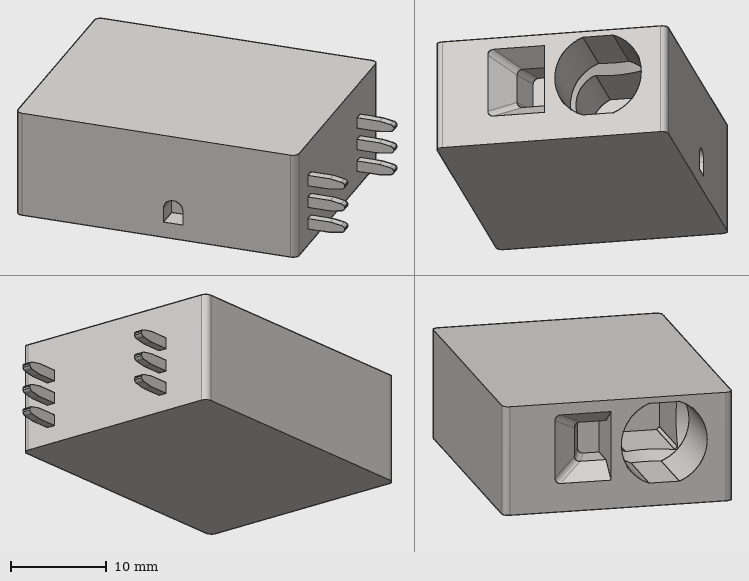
import cadquery as cq

body_length = 31.3
body_width = 24.7
body_height = 11.8
body_corner_radius = 0.7

pin_length = 4.1
pin_height = 1.2
pin_width = 0.95
pin_straight_length = 2.5
pin_taper_end = 3.72
pin_taper_end_half_height = 0.4
pin_tip_half_height = 0.1
pin_column_pitch = 15.0
pin_column_center_y = -1.05
pin_row_pitch = 2.5
pin_row_center_z = -0.9
pin_root_overlap = 1.0

opening_center_z = 0.92

bore_center_y = -4.98
bore_diameter = 9.25
bore_flat_height = 8.66
bore_depth = 8.0
cone_length = 0.9
channel_height = 6.44
channel_right_y = -8.4
channel_left_y = -0.87
channel_arc_start_y = -2.92
channel_corner_size = 0.3
channel_depth = 16.0

funnel_depth = 2.3
slot_right_y = 0.74
mouth_left_y = 6.79
throat_left_y = 4.14
floor_left_y = 3.06
mouth_height = 7.45
throat_height = 4.25
slot_floor_depth = 5.3
slot_corner_radius = 0.6

recess_center_x = 17.53
recess_width = 2.16
recess_bottom_z = -4.13
recess_top_z = -1.49
recess_depth = 2.5


def make_body():
    body = cq.Workplane("XY").box(body_length, body_width, body_height, centered=(False, True, True))
    return body.edges("|Z").fillet(body_corner_radius)


def make_pin(center_y, center_z):
    half_height = pin_height / 2
    straight_end = body_length + pin_straight_length
    taper_end = body_length + pin_taper_end
    tip = body_length + pin_length
    root = body_length - pin_root_overlap
    upper_half = (
        cq.Workplane("XZ", origin=(0, center_y, center_z))
        .moveTo(root, 0)
        .lineTo(root, half_height)
        .lineTo(straight_end, half_height)
        .lineTo(taper_end, pin_taper_end_half_height)
        .tangentArcPoint((tip, pin_tip_half_height), relative=False)
        .lineTo(tip, 0)
        .close()
        .extrude(pin_width / 2, both=True)
    )
    return upper_half.union(upper_half.mirror("XY", (0, 0, center_z))).clean()


def entry_plane(center_y):
    """Sketch plane on the entry face: local x is Y, local y is Z, extruding inward."""
    return cq.Workplane("YZ", origin=(0, center_y, opening_center_z))


def make_bore():
    radius = bore_diameter / 2
    end_radius = channel_height / 2
    cone_end = bore_depth + cone_length
    bore = (
        cq.Workplane("XY", origin=(0, bore_center_y, opening_center_z))
        .polyline([(0, 0), (0, radius), (bore_depth, radius), (cone_end, end_radius), (cone_end, 0)])
        .close()
        .revolve(360, (0, 0), (1, 0))
    )
    flats = entry_plane(bore_center_y).rect(bore_diameter, bore_flat_height).extrude(cone_end)
    return bore.intersect(flats)


def make_channel():
    half_height = channel_height / 2
    corner_y = channel_right_y + channel_corner_size
    corner_z = half_height - channel_corner_size
    profile = (
        entry_plane(0)
        .moveTo(corner_y, half_height)
        .lineTo(channel_arc_start_y, half_height)
        .threePointArc((channel_left_y, 0), (channel_arc_start_y, -half_height))
        .lineTo(corner_y, -half_height)
        .lineTo(channel_right_y, -corner_z)
        .lineTo(channel_right_y, corner_z)
        .close()
    )
    return profile.extrude(channel_depth)


def slot_section(depth, left_y, height):
    """Wire of the rectangular entry at one depth, its two left corners rounded."""
    half_height = height / 2
    arc_start_y = left_y - slot_corner_radius
    arc_end_z = half_height - slot_corner_radius
    section = (
        cq.Workplane("YZ", origin=(depth, 0, opening_center_z))
        .moveTo(slot_right_y, -half_height)
        .lineTo(arc_start_y, -half_height)
        .tangentArcPoint((left_y, -arc_end_z), relative=False)
        .lineTo(left_y, arc_end_z)
        .tangentArcPoint((arc_start_y, half_height), relative=False)
        .lineTo(slot_right_y, half_height)
        .close()
    )
    return section.val()


def make_slot():
    mouth = slot_section(0, mouth_left_y, mouth_height)
    throat = slot_section(funnel_depth, throat_left_y, throat_height)
    floor = slot_section(slot_floor_depth, floor_left_y, throat_height)
    funnel = cq.Workplane(cq.Solid.makeLoft([mouth, throat], True))
    pocket = cq.Workplane(cq.Solid.makeLoft([throat, floor], True))
    return funnel.union(pocket)


def make_recess():
    radius = recess_width / 2
    arc_start_z = recess_top_z - radius
    left_x = recess_center_x - radius
    right_x = recess_center_x + radius
    return (
        cq.Workplane("XZ", origin=(0, -body_width / 2, 0))
        .moveTo(left_x, recess_bottom_z)
        .lineTo(right_x, recess_bottom_z)
        .lineTo(right_x, arc_start_z)
        .threePointArc((recess_center_x, recess_top_z), (left_x, arc_start_z))
        .close()
        .extrude(-recess_depth)
    )


result = make_body()
for opening in (make_bore(), make_channel(), make_slot(), make_recess()):
    result = result.cut(opening)

for column in (-0.5, 0.5):
    for row in (-1, 0, 1):
        pin_y = pin_column_center_y + column * pin_column_pitch
        pin_z = pin_row_center_z + row * pin_row_pitch
        result = result.union(make_pin(pin_y, pin_z))